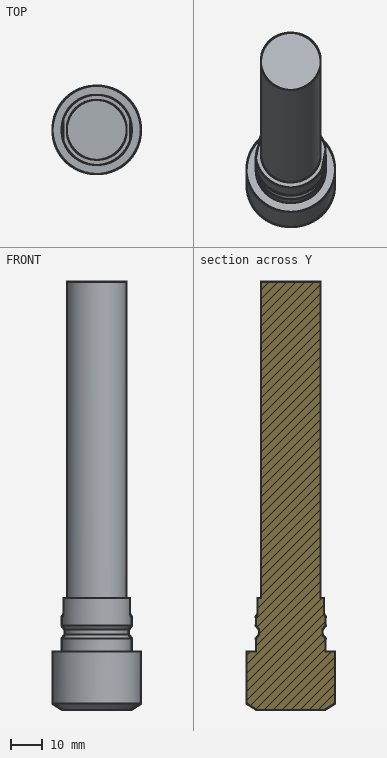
import cadquery as cq

total_height = 135.1
head_radius = 13.98
collar_radius = 11.1
shaft_radius = 9.5

head_top = 18.5
groove_bottom = 22.5
groove_top = 26.6
collar_top = 35.4

bevel_height = 2.0
bevel_width = 3.2

groove_depth = 1.0
flank_height = 1.2

flat_offset = 10.5
flat_bottom = 30.3
runout_height = 1.0


def turned_body():
    """Revolve the half profile of head, grooved collar and shaft about Z."""
    groove_radius = collar_radius - groove_depth
    profile = [
        (0, 0),
        (head_radius - bevel_width, 0),
        (head_radius, bevel_height),
        (head_radius, head_top),
        (collar_radius, head_top),
        (collar_radius, groove_bottom),
        (groove_radius, groove_bottom + flank_height),
        (groove_radius, groove_top - flank_height),
        (collar_radius, groove_top),
        (collar_radius, collar_top),
        (shaft_radius, collar_top),
        (shaft_radius, total_height),
        (0, total_height),
    ]
    return cq.Workplane("XZ").polyline(profile).close().revolve(360, (0, 0), (0, 1))


def flat_cutter(side):
    """Material removed for the flat on the -X (side = -1) or +X (side = 1) face."""
    section = [
        (side * flat_offset, collar_top),
        (side * flat_offset, flat_bottom),
        (side * collar_radius, flat_bottom - runout_height),
        (side * collar_radius, collar_top),
    ]
    return cq.Workplane("XZ").polyline(section).close().extrude(collar_radius, both=True)


result = turned_body()
for side in (-1, 1):
    result = result.cut(flat_cutter(side))